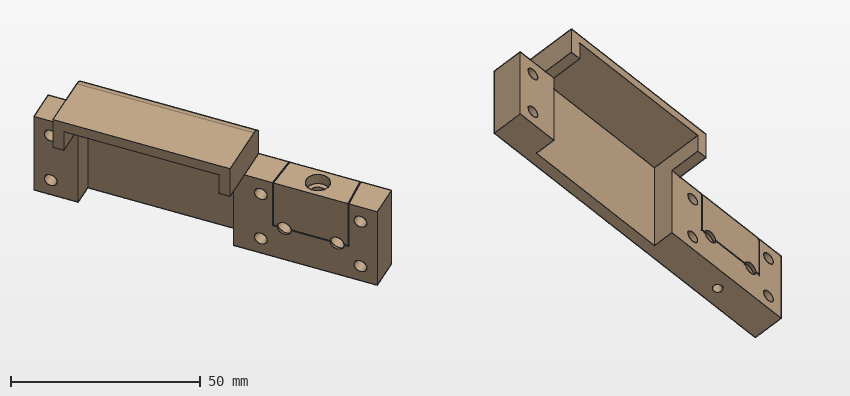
import cadquery as cq
import math

PLATE_LENGTH = 98.4
PLATE_THICKNESS = 9.5
PLATE_HEIGHT = 25.4

HOOD_START = 9.5
HOOD_LENGTH = 50.8
HOOD_DEPTH = 2 * PLATE_THICKNESS
HOOD_HEIGHT = 9.5
TOTAL_HEIGHT = PLATE_HEIGHT + HOOD_HEIGHT

WALL = 3.15
RECESS_START = HOOD_START + WALL
RECESS_LENGTH = HOOD_LENGTH - 2 * WALL

BEVEL_FLAT_DEPTH = 1.1
BEVEL_ANGLE = 40.0
BLEND_RADIUS = 3.2

MOUNT_DIAMETER = 3.6
MOUNT_END_MARGIN = 4.8
MOUNT_MIDDLE_X = 65.1
MOUNT_XS = (MOUNT_END_MARGIN, MOUNT_MIDDLE_X, PLATE_LENGTH - MOUNT_END_MARGIN)
MOUNT_ZS = (5.0, 20.4)

SLOT_CENTER = (MOUNT_XS[1] + MOUNT_XS[2]) / 2
SLOT_FRONT_WIDTH = 21.9
SLOT_DEPTH = 14.8
SLOT_FLOOR = PLATE_HEIGHT - SLOT_DEPTH
SIDE_ANGLE = 3.8
CLEARANCE = 0.3

RELIEF_MOUTH_DIAMETER = 3.9
RELIEF_DIAMETER = 5.0
RELIEF_FLARE_DEPTH = 1.3
RELIEF_SPACING = 15.2
RELIEF_Z = 10.7

SCREW_Y = -PLATE_THICKNESS / 2
COUNTERBORE_DIAMETER = 6.6
COUNTERBORE_DEPTH = 3.15
CLEARANCE_DIAMETER = 3.7
COUNTERSINK_DIAMETER = 3.5
TAPPING_DIAMETER = 2.8


def box(x, y, z, length, depth, height):
    """Box from its left, back, bottom corner; depth runs toward -Y."""
    return cq.Workplane("XY").box(length, depth, height, centered=False).translate((x, y - depth, z))


def make_mount_holes():
    """Cylinders along Y through the plate thickness, one per mounting point."""
    points = [(x, z) for x in MOUNT_XS for z in MOUNT_ZS]
    return cq.Workplane("XZ").pushPoints(points).circle(MOUNT_DIAMETER / 2).extrude(PLATE_THICKNESS)


def screw_hole(diameter, bottom, top):
    """Cylinder on the screw axis between two heights."""
    return (
        cq.Workplane("XY", origin=(SLOT_CENTER, SCREW_Y, bottom))
        .circle(diameter / 2)
        .extrude(top - bottom)
    )


def make_countersink():
    """45 degree cone at the top of the tapping hole."""
    depth = (COUNTERSINK_DIAMETER - TAPPING_DIAMETER) / 2
    cone = cq.Solid.makeCone(
        COUNTERSINK_DIAMETER / 2,
        TAPPING_DIAMETER / 2,
        depth,
        pnt=cq.Vector(SLOT_CENTER, SCREW_Y, SLOT_FLOOR),
        dir=cq.Vector(0, 0, -1),
    )
    return cq.Workplane(cone)


def make_relief_hole(x):
    """Hole along Y that widens from its front mouth, then runs straight to the back face."""
    mouth_radius = RELIEF_MOUTH_DIAMETER / 2
    radius = RELIEF_DIAMETER / 2
    flare_end = -PLATE_THICKNESS + RELIEF_FLARE_DEPTH
    return (
        cq.Workplane("XY", origin=(x, 0, RELIEF_Z))
        .polyline([
            (0, -PLATE_THICKNESS),
            (mouth_radius, -PLATE_THICKNESS),
            (radius, flare_end),
            (radius, 0),
            (0, 0),
        ])
        .close()
        .revolve(360, (0, 0, 0), (0, 1, 0))
    )


def wedge(front_width, bottom):
    """Block as thick as the plate, narrowing toward the back, from bottom to the plate top."""
    half_front = front_width / 2
    half_back = half_front - PLATE_THICKNESS * math.tan(math.radians(SIDE_ANGLE))
    return (
        cq.Workplane("XY", origin=(SLOT_CENTER, 0, bottom))
        .polyline([
            (-half_back, 0),
            (half_back, 0),
            (half_front, -PLATE_THICKNESS),
            (-half_front, -PLATE_THICKNESS),
        ])
        .close()
        .extrude(PLATE_HEIGHT - bottom)
    )


def make_hood():
    """Hood block extruded along X, with the blended bevel on its upper back edge."""
    angle = math.radians(BEVEL_ANGLE)
    arc_end_y = -BEVEL_FLAT_DEPTH - BLEND_RADIUS * math.sin(angle)
    arc_start_z = TOTAL_HEIGHT - BLEND_RADIUS * (1 - math.cos(angle))
    bevel_start_z = arc_start_z - BEVEL_FLAT_DEPTH * math.tan(angle)
    arc_middle = (
        arc_end_y + BLEND_RADIUS * math.sin(angle / 2),
        TOTAL_HEIGHT - BLEND_RADIUS * (1 - math.cos(angle / 2)),
    )
    return (
        cq.Workplane("YZ", origin=(HOOD_START, 0, 0))
        .moveTo(0, PLATE_HEIGHT)
        .lineTo(0, bevel_start_z)
        .lineTo(-BEVEL_FLAT_DEPTH, arc_start_z)
        .threePointArc(arc_middle, (arc_end_y, TOTAL_HEIGHT))
        .lineTo(-HOOD_DEPTH, TOTAL_HEIGHT)
        .lineTo(-HOOD_DEPTH, PLATE_HEIGHT)
        .close()
        .extrude(HOOD_LENGTH)
    )


def make_housing(relief_holes):
    """Plate and hood in one piece, with the recess, holes and wedge slot cut out."""
    plate = box(0, 0, 0, PLATE_LENGTH, PLATE_THICKNESS, PLATE_HEIGHT)
    recess = box(RECESS_START, -WALL, 0, RECESS_LENGTH, HOOD_DEPTH - WALL, TOTAL_HEIGHT - WALL)
    return (
        plate.union(make_hood())
        .cut(recess)
        .cut(make_mount_holes())
        .cut(wedge(SLOT_FRONT_WIDTH, SLOT_FLOOR))
        .cut(relief_holes)
        .cut(screw_hole(TAPPING_DIAMETER, 0, SLOT_FLOOR))
        .cut(make_countersink())
    )


def make_insert(relief_holes):
    """Wedge block that fills the slot with clearance on its sides and bottom."""
    bottom = SLOT_FLOOR + CLEARANCE
    return (
        wedge(SLOT_FRONT_WIDTH - 2 * CLEARANCE, bottom)
        .cut(relief_holes)
        .cut(screw_hole(CLEARANCE_DIAMETER, bottom, PLATE_HEIGHT))
        .cut(screw_hole(COUNTERBORE_DIAMETER, PLATE_HEIGHT - COUNTERBORE_DEPTH, PLATE_HEIGHT))
    )


left_relief, right_relief = [
    make_relief_hole(SLOT_CENTER + side * RELIEF_SPACING / 2) for side in (-1, 1)
]
relief_holes = left_relief.union(right_relief)

housing = make_housing(relief_holes)
insert = make_insert(relief_holes)

result = cq.Compound.makeCompound([housing.val(), insert.val()])